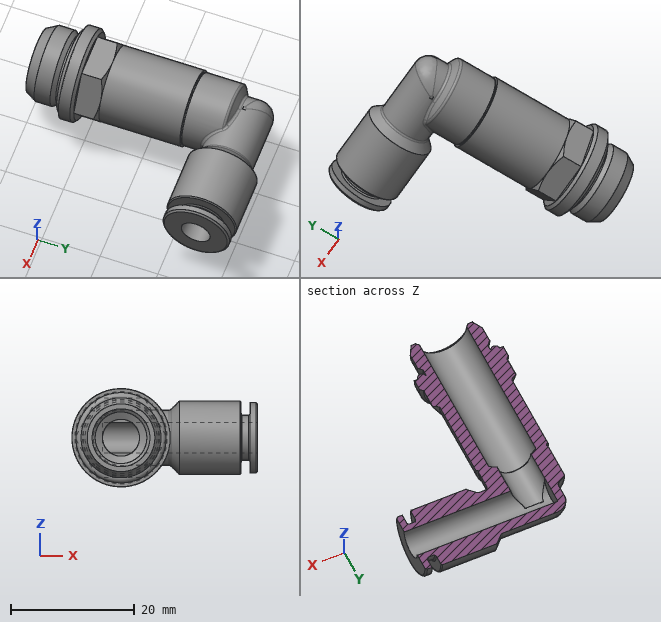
import cadquery as cq
import math


def tan_degrees(angle):
    return math.tan(math.radians(angle))



elbow_radius = 4.5
elbow_corner_blend = 2.5
elbow_crest_height = 4.47
small_blend = 0.5
edge_margin = 0.1

swivel_radius = 6.25
shoulder_angle = 30.0
shoulder_depth = 1.57
shoulder_top = shoulder_depth - (swivel_radius - elbow_radius) * tan_degrees(shoulder_angle)
body_radius = 6.5
swivel_groove_radius = 6.15
swivel_groove_top = 8.25
body_top = 8.47
hex_across_flats = 2 * body_radius
hex_top = 22.47
hex_chamfer_angle = 30.0
flange_radius = 8.0
flange_top = 26.47
flange_bottom = 28.97
flange_rim_chamfer = 0.5
seal_radius = 7.34
seal_section_radius = 0.75
groove_radius = 5.85
groove_bottom = 30.2
thread_radius = 6.5
thread_top = 30.95
thread_lead_top = 33.7
thread_tip_radius = 5.5
stem_end = 35.5

sleeve_radius = 6.0
sleeve_cone_start = 8.0
sleeve_end = 19.5
sleeve_end_chamfer = 0.2
lip_radius = 4.05
lip_length = 0.15
neck_radius = 3.67
collet_start = 21.0
collet_radius = 5.75
collet_end = 22.2
collet_chamfer = 0.3
collet_root_chamfer = 0.25

stem_bore_radius = 3.0
branch_bore_radius = 2.5
wide_bore_radius = 4.2
wide_bore_top = body_top
wide_bore_floor_angle = 30.0
wide_bore_chamfer = 0.5


def stem_cylinder(radius, start, end):
    """Cylinder on the stem axis between two distances below the branch axis."""
    return cq.Workplane("XZ", origin=(0, -start, 0)).circle(radius).extrude(end - start)


def branch_cylinder(radius, start, end):
    """Cylinder on the branch axis between two X positions."""
    return cq.Workplane("YZ", origin=(start, 0, 0)).circle(radius).extrude(end - start)


def revolve_stem(points):
    """Revolve a (radius, distance below the branch axis) outline about the stem axis."""
    outline = [(radius, -depth) for radius, depth in points]
    return cq.Workplane("XY").polyline(outline).close().revolve(360, (0, 0, 0), (0, 1, 0))


def revolve_branch(points):
    """Revolve an (X, radius) outline about the branch axis."""
    return cq.Workplane("XY").polyline(points).close().revolve(360, (0, 0, 0), (1, 0, 0))


def make_sharp_elbow():
    """Mitred pipe elbow with a sharp outer corner."""
    reach = 2 * elbow_radius
    corner = branch_cylinder(elbow_radius, -reach, reach).intersect(
        stem_cylinder(elbow_radius, -reach, reach)
    )
    branch_pipe = branch_cylinder(elbow_radius, 0, sleeve_cone_start)
    stem_pipe = stem_cylinder(elbow_radius, 0, swivel_groove_top)
    return corner.union(branch_pipe).union(stem_pipe).clean()


def make_swivel():
    """Upper stem with a conical, rounded shoulder."""
    swivel = revolve_stem([
        (0, shoulder_top),
        (elbow_radius, shoulder_top),
        (swivel_radius, shoulder_depth),
        (swivel_radius, swivel_groove_top),
        (0, swivel_groove_top),
    ])
    shoulder_edge = cq.selectors.BoxSelector(
        (-body_radius, -shoulder_depth - small_blend, -body_radius),
        (body_radius, -shoulder_depth + small_blend, body_radius),
        boundingbox=True,
    )
    return swivel.edges(shoulder_edge).fillet(small_blend)


def blend_junction(elbow):
    """Blend the elbow into the swivel along the line where they meet."""
    inner_reach = swivel_radius + small_blend
    junction = cq.selectors.BoxSelector(
        (-elbow_radius - edge_margin, -elbow_radius - edge_margin, -elbow_radius - edge_margin),
        (inner_reach, -shoulder_top + edge_margin, elbow_radius + edge_margin),
        boundingbox=True,
    )
    return elbow.edges(junction).fillet(small_blend)


def round_outer_corner(elbow):
    """Round the outer mitre edge, which dies out at the two trimmed side crests."""
    size = 2 * elbow_radius
    crest_offset = elbow_crest_height + size / 2
    for side in (1, -1):
        crest = cq.Workplane("XY", origin=(-size / 2, size / 2, side * crest_offset)).box(size, size, size)
        elbow = elbow.cut(crest)
    outer_mitre = cq.selectors.BoxSelector((-size, edge_margin, -size), (-edge_margin, size, size))
    return elbow.edges(outer_mitre).edges("%ELLIPSE").fillet(elbow_corner_blend)


def make_elbow():
    """Finished elbow with the swivel that carries it."""
    sharp = make_sharp_elbow().union(make_swivel())
    return round_outer_corner(blend_junction(sharp))


def make_sleeve():
    """Tube socket on the branch: cone, cylinder, end lip, collet neck and collet flange."""
    cone_end = sleeve_cone_start + sleeve_radius - elbow_radius
    neck_end = collet_start - collet_root_chamfer
    return revolve_branch([
        (sleeve_cone_start, 0),
        (sleeve_cone_start, elbow_radius),
        (cone_end, sleeve_radius),
        (sleeve_end - sleeve_end_chamfer, sleeve_radius),
        (sleeve_end, sleeve_radius - sleeve_end_chamfer),
        (sleeve_end, lip_radius),
        (sleeve_end + lip_length, neck_radius),
        (neck_end, neck_radius),
        (collet_start, neck_radius + collet_root_chamfer),
        (collet_start, collet_radius),
        (collet_end - collet_chamfer, collet_radius),
        (collet_end, collet_radius - collet_chamfer),
        (collet_end, 0),
    ])


def blend_sleeve_root(body):
    """Blend the sleeve cone into the elbow pipe."""
    root = cq.selectors.BoxSelector(
        (sleeve_cone_start - small_blend, -sleeve_radius, -sleeve_radius),
        (sleeve_cone_start + small_blend, sleeve_radius, sleeve_radius),
        boundingbox=True,
    )
    return body.edges(root).fillet(small_blend)


def make_lower_stem():
    """Swivel groove, plain body, flange and threaded end."""
    flange_top_radius = flange_radius - flange_rim_chamfer
    return revolve_stem([
        (0, swivel_groove_top),
        (swivel_groove_radius, swivel_groove_top),
        (swivel_groove_radius, body_top),
        (body_radius, body_top),
        (body_radius, flange_top),
        (flange_top_radius, flange_top),
        (flange_radius, flange_top + flange_rim_chamfer),
        (flange_radius, flange_bottom),
        (groove_radius, flange_bottom),
        (groove_radius, groove_bottom),
        (thread_radius, thread_top),
        (thread_radius, thread_lead_top),
        (thread_tip_radius, stem_end),
        (0, stem_end),
    ])


def make_hexagon():
    """Wrench hexagon with corners on the X axis, its upper corners cut by a cone."""
    corner_radius = hex_across_flats / 2 / math.cos(math.radians(30))
    height = flange_top - hex_top
    hexagon = (
        cq.Workplane("XZ", origin=(0, -hex_top, 0))
        .polygon(6, 2 * corner_radius)
        .extrude(height)
    )
    cone_radius = 2 * corner_radius
    cone_depth = hex_top + (cone_radius - body_radius) * tan_degrees(hex_chamfer_angle)
    envelope = revolve_stem([
        (0, hex_top),
        (body_radius, hex_top),
        (cone_radius, cone_depth),
        (cone_radius, cone_depth + height),
        (0, cone_depth + height),
    ])
    return hexagon.intersect(envelope)


def make_seal():
    """Sealing ring of round section, half sunk into the underside of the flange."""
    ring_radius = seal_radius - seal_section_radius
    return (
        cq.Workplane("XY", origin=(ring_radius, -flange_bottom, 0))
        .circle(seal_section_radius)
        .revolve(360, (-ring_radius, 0, 0), (-ring_radius, 1, 0))
    )


def make_stem_bore():
    """Stepped bore up the stem, ending at the branch axis."""
    floor_rise = (wide_bore_radius - stem_bore_radius) * tan_degrees(wide_bore_floor_angle)
    return revolve_stem([
        (0, 0),
        (stem_bore_radius, 0),
        (stem_bore_radius, wide_bore_top - floor_rise),
        (wide_bore_radius, wide_bore_top),
        (wide_bore_radius, stem_end - wide_bore_chamfer),
        (wide_bore_radius + wide_bore_chamfer, stem_end),
        (0, stem_end),
    ])


body = blend_sleeve_root(make_elbow().union(make_sleeve()))
body = body.union(make_lower_stem()).union(make_hexagon()).union(make_seal())
branch_bore = branch_cylinder(branch_bore_radius, -stem_bore_radius, collet_end)
result = body.cut(make_stem_bore()).cut(branch_bore)